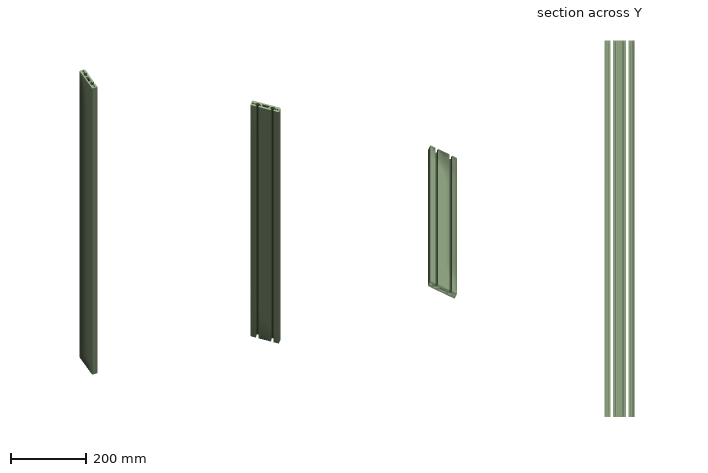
import cadquery as cq

width = 80.0
depth = 16.0
length = 1000.0
corner_radius = 2.5

slot_offset = 21.0
mouth_width = 7.0
lip_thickness = 5.0
cavity_width = 17.0
cavity_floor_width = 6.0
cavity_shoulder = 8.0
cavity_depth = 12.0

chamber_width = 18.0
chamber_base_width = 24.0
chamber_floor = 4.0
chamber_shoulder = 7.0
chamber_roof = 11.0
chamber_roof_width = 14.0
chamber_eaves = 10.0

hollow_outer = 38.0
hollow_inner = 31.0
hollow_floor = 7.0
hollow_roof = 11.0
hollow_bevel = 3.0


def extrude_outline(points):
    return cq.Workplane("XY").polyline(points).close().extrude(length)


def mirrored(right_side):
    """Complete a symmetric outline from the points of its +X half."""
    return right_side + [(-x, y) for x, y in reversed(right_side)]


def make_bar():
    bar = cq.Workplane("XY").rect(width, depth).extrude(length)
    return bar.translate((0, depth / 2, 0)).edges("|Z").fillet(corner_radius)


def make_t_slot(center_x):
    """Mouth and undercut cavity that narrows towards its floor."""
    outline = mirrored([
        (mouth_width / 2, depth),
        (mouth_width / 2, depth - lip_thickness),
        (cavity_width / 2, depth - lip_thickness),
        (cavity_width / 2, depth - cavity_shoulder),
        (cavity_floor_width / 2, depth - cavity_depth),
    ])
    return extrude_outline(outline).translate((center_x, 0, 0))


def make_chamber():
    outline = mirrored([
        (chamber_roof_width / 2, chamber_roof),
        (chamber_width / 2, chamber_eaves),
        (chamber_width / 2, chamber_shoulder),
        (chamber_base_width / 2, chamber_floor),
    ])
    return extrude_outline(outline)


def make_edge_hollow(side):
    outline = [
        (hollow_inner, hollow_floor),
        (hollow_outer, hollow_floor),
        (hollow_outer, hollow_roof - hollow_bevel),
        (hollow_outer - hollow_bevel, hollow_roof),
        (hollow_inner, hollow_roof),
    ]
    return extrude_outline([(side * x, y) for x, y in outline])


result = make_bar().cut(make_chamber())
for side in (-1, 1):
    result = result.cut(make_t_slot(side * slot_offset))
    result = result.cut(make_edge_hollow(side))